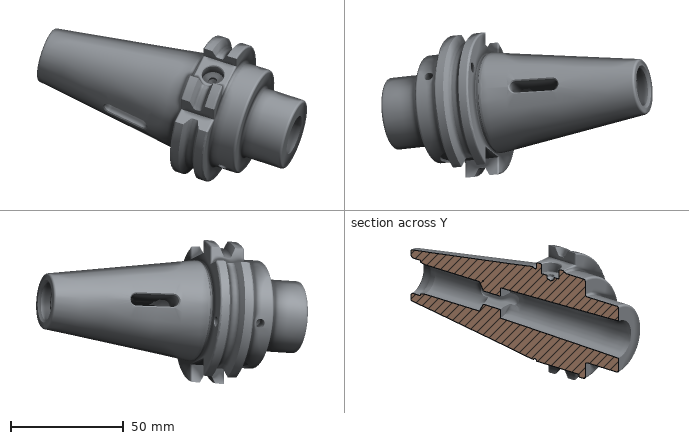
import cadquery as cq
import math

total_length = 118.4
gauge_x = 68.9
flange_start = 71.5
flange_end = 87.5
body_end = 99.5

gauge_radius = 22.4
taper_slope = 7 / 48
tip_radius = gauge_radius - gauge_x * taper_slope
relief_radius = 21.8
relief_start = 70.0
relief_step = 0.4
body_radius = 24.0
nose_radius = 16.0
edge_round = 1.1
root_fillet = 1.1

flange_diameter = 63.3
flange_radius = flange_diameter / 2
flange_round = 0.8
groove_center = 79.5
groove_floor_radius = 28.1
groove_floor_width = 3.1
groove_wall_angle = 30
groove_fillet = 1.1

slot_width = 16.2
top_slot_floor = 25.0
bottom_slot_floor = 22.7
notch_offset = 18.4

mouth_radius = 9.5
pilot_radius = 8.4
thread_entry_radius = 7.6
thread_radius = 7.0
mouth_depth = 1.1
pilot_depth = 5.5
thread_entry_depth = 3.0
thread_end = 39.1
web_hole_radius = 3.1
drill_tip_slope = math.tan(math.radians(30))

socket_mouth_radius = 8.9
socket_slope = 0.025
socket_end = 51.4

drift_slot_center = 45.2
drift_slot_length = 21.5
drift_slot_height = 5.3
drift_slot_chamfer = 0.53

chip_diameter = 9.8
chip_depth = 4.6
chip_chamfer = 0.4
chip_pit_diameter = 3.8
chip_pit_depth = 1.2

coolant_angle = 20
coolant_radius = 26.9
coolant_diameter = 4.4
coolant_slant = 22
plug_x = 93.3
plug_diameter = 4.0

overshoot = 1.2


def revolve_profile(points):
    """Solid of revolution about X from (x, radius) points."""
    profile = cq.Workplane("XY").polyline(points).close()
    return profile.revolve(360, (0, 0, 0), (1, 0, 0))


def block(x_range, y_range, z_range):
    """Box given by its limits along each axis."""
    sizes = [high - low for low, high in (x_range, y_range, z_range)]
    corner = (x_range[0], y_range[0], z_range[0])
    return cq.Workplane("XY").box(*sizes, centered=False).translate(corner)


def round_drill(start, direction, diameter, depth, pointed=True):
    """Cylinder along a direction, with an optional 120 degree drill tip."""
    radius = diameter / 2
    tip = radius * drill_tip_slope if pointed else 0
    points = [(0, 0), (radius, 0), (radius, depth), (0, depth + tip)]
    outline = cq.Workplane("XZ").polyline(points).close()
    drill = outline.revolve(360, (0, 0, 0), (0, 1, 0)).val()
    return cq.Workplane(obj=drill.moved(cq.Plane(start, normal=direction).location))


def cylinder(start, end, radius):
    """Cylinder on the X axis between two X positions."""
    return cq.Workplane("YZ", origin=(start, 0, 0)).circle(radius).extrude(end - start)


def fillet_ring(x, radius):
    """Concave fillet where a cylinder leaves a shoulder that faces +X."""
    mid = root_fillet * (1 - math.sqrt(0.5))
    profile = (
        cq.Workplane("XY")
        .moveTo(x, radius - overshoot)
        .lineTo(x, radius + root_fillet)
        .threePointArc((x + mid, radius + mid), (x + root_fillet, radius))
        .lineTo(x + root_fillet, radius - overshoot)
        .close()
    )
    return profile.revolve(360, (0, 0, 0), (1, 0, 0))


def make_shank():
    """Steep taper with relief neck, round body and nose."""
    taper = revolve_profile([
        (0, 0),
        (0, tip_radius),
        (gauge_x, gauge_radius),
        (relief_start, gauge_radius),
        (relief_start + relief_step, relief_radius),
        (flange_start - relief_step, relief_radius),
        (flange_start, gauge_radius),
        (flange_end, gauge_radius),
        (flange_end, 0),
    ])
    taper = taper.faces("<X").edges().fillet(edge_round)
    body = cylinder(flange_start, body_end, body_radius).faces(">X").edges().fillet(edge_round)
    nose = cylinder(flange_start, total_length, nose_radius).faces(">X").edges().fillet(edge_round)
    nose = nose.union(fillet_ring(body_end, nose_radius))
    return taper.union(body).union(nose)


def make_flange():
    """Grooved flange with two drive slots and a corner notch, its face outlines rounded."""
    flange = cylinder(flange_start, flange_end, flange_radius)

    floor_half = groove_floor_width / 2
    rise = flange_radius + overshoot - groove_floor_radius
    top_half = floor_half + rise * math.tan(math.radians(groove_wall_angle))
    groove = revolve_profile([
        (groove_center - floor_half, groove_floor_radius),
        (groove_center - top_half, flange_radius + overshoot),
        (groove_center + top_half, flange_radius + overshoot),
        (groove_center + floor_half, groove_floor_radius),
    ])
    groove = groove.edges(cq.selectors.RadiusNthSelector(0)).fillet(groove_fillet)
    flange = flange.cut(groove)

    x_range = (flange_start - overshoot, flange_end + overshoot)
    slot_range = (-slot_width / 2, slot_width / 2)
    outside = flange_radius + overshoot
    flange = flange.cut(block(x_range, slot_range, (top_slot_floor, outside)))
    flange = flange.cut(block(x_range, slot_range, (-outside, -bottom_slot_floor)))
    flange = flange.cut(block(x_range, (-outside, -notch_offset), (notch_offset, outside)))
    return flange.faces("<X or >X").edges().fillet(flange_round)


def make_slot_runout():
    """Round end of the bottom drive slot where the cutter leaves the body."""
    depth = body_radius + overshoot - bottom_slot_floor
    cutter = (
        cq.Workplane("XY", origin=(flange_end, 0, -bottom_slot_floor))
        .circle(slot_width / 2)
        .extrude(-depth)
    )
    entry = block((flange_start - overshoot, flange_end), (-slot_width / 2, slot_width / 2),
                  (-bottom_slot_floor - depth, -bottom_slot_floor))
    return cutter.union(entry)


def make_bore():
    """Pull stud bore, web hole and tapered tool socket along the axis."""
    entry_end = pilot_depth + thread_entry_depth
    tip_end = thread_end + (thread_radius - web_hole_radius) * drill_tip_slope
    socket_end_radius = socket_mouth_radius - (total_length - socket_end) * socket_slope
    return revolve_profile([
        (0, 0),
        (0, mouth_radius),
        (mouth_depth, pilot_radius),
        (pilot_depth, pilot_radius),
        (pilot_depth, thread_entry_radius),
        (entry_end, thread_radius),
        (thread_end, thread_radius),
        (tip_end, web_hole_radius),
        (socket_end, web_hole_radius),
        (socket_end, socket_end_radius),
        (total_length, socket_mouth_radius),
        (total_length, 0),
    ])


def cut_drift_slot(part):
    """Cut the cross slot through the taper and chamfer both of its mouths."""
    reach = gauge_radius + overshoot
    slot = (
        cq.Workplane("XZ", origin=(drift_slot_center, reach, 0))
        .slot2D(drift_slot_length, drift_slot_height)
        .extrude(2 * reach)
    )
    part = part.cut(slot)
    half_length = drift_slot_length / 2 + overshoot
    start = drift_slot_center - half_length
    end = drift_slot_center + half_length
    nearest_mouth = tip_radius + (start - overshoot) * taper_slope - overshoot
    for side in (-1, 1):
        mouth = cq.selectors.BoxSelector(
            (start, side * nearest_mouth, -drift_slot_height),
            (end, side * reach, drift_slot_height),
        )
        part = part.edges(mouth).chamfer(drift_slot_chamfer)
    return part


def make_chip_pocket():
    """Round pocket with a chamfered rim and a pointed pit in its floor."""
    down = (0, 0, -1)
    rim = (groove_center, 0, top_slot_floor)
    floor = (groove_center, 0, top_slot_floor - chip_depth)
    pocket = round_drill(rim, down, chip_diameter, chip_depth, pointed=False)
    countersink = (
        cq.Workplane("XY", origin=rim)
        .circle(chip_diameter / 2 + chip_chamfer)
        .extrude(-chip_chamfer, taper=45)
    )
    pit = round_drill(floor, down, chip_pit_diameter, chip_pit_depth)
    return pocket.union(countersink).union(pit)


def make_coolant_channel():
    """Slanted channel from the flange face that meets a radial plug hole in the body."""
    slant = math.radians(coolant_slant)
    meeting_radius = coolant_radius - (plug_x - flange_start) * math.tan(slant)
    inward = (math.cos(slant), math.sin(slant), 0)
    entry = (flange_start - overshoot, -coolant_radius - overshoot * math.tan(slant), 0)
    length = (plug_x - flange_start + overshoot) / math.cos(slant)
    channel = round_drill(entry, inward, coolant_diameter, length, pointed=False)
    plug_start = (plug_x, -body_radius - overshoot, 0)
    plug_depth = body_radius + overshoot - meeting_radius
    plug_hole = round_drill(plug_start, (0, 1, 0), plug_diameter, plug_depth)
    return channel.union(plug_hole)


result = make_shank().union(make_flange()).union(fillet_ring(flange_end, body_radius))
result = result.cut(make_slot_runout())
result = result.cut(make_bore())
result = cut_drift_slot(result)
result = result.cut(make_chip_pocket())

coolant_channel = make_coolant_channel()
for turn in (coolant_angle, coolant_angle + 180):
    result = result.cut(coolant_channel.rotate((0, 0, 0), (1, 0, 0), turn))